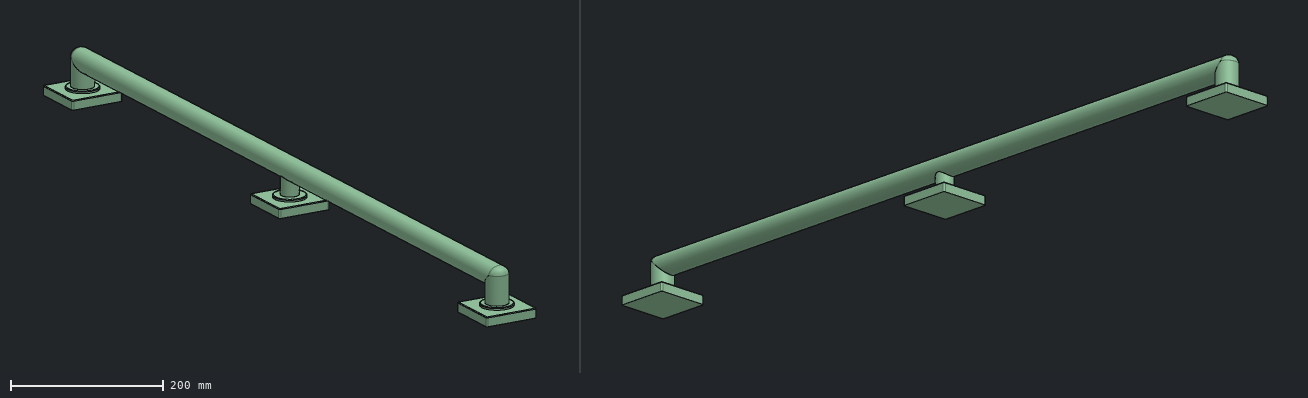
import cadquery as cq
import math

length = 1143.0
height = 70.0

flange_side = 77.0
flange_thickness = 14.0
flange_corner_radius = 2.0
flange_top_chamfer = 1.0

collar_diameter = 46.0
collar_height = 3.0
collar_chamfer = 1.0

tube_diameter = 32.0
tube_radius = tube_diameter / 2
elbow_bend_radius = 11.0
quarter_turn = 90
middle_post_diameter = 25.0

end_post_x = (length - flange_side) / 2
rail_axis_z = height - tube_radius
collar_top_z = flange_thickness + collar_height
bend_axis_x = end_post_x + tube_radius - elbow_bend_radius
bend_axis_z = height - elbow_bend_radius


def make_flange(x):
    """Square flange with its raised round collar, standing on z = 0."""
    plate = (
        cq.Workplane("XY")
        .box(flange_side, flange_side, flange_thickness, centered=(True, True, False))
        .edges("|Z")
        .fillet(flange_corner_radius)
        .faces(">Z")
        .edges()
        .chamfer(flange_top_chamfer)
    )
    collar = (
        cq.Workplane("XY", origin=(0, 0, flange_thickness))
        .circle(collar_diameter / 2)
        .extrude(collar_height)
        .faces(">Z")
        .edges()
        .chamfer(collar_chamfer)
    )
    return plate.union(collar).translate((x, 0, 0))


def make_corner_block(side):
    """Block holding the sharp outer corner of the mitre, to be replaced by the bend."""
    half_block = elbow_bend_radius / 2
    return (
        cq.Workplane("XY")
        .box(elbow_bend_radius, tube_diameter, elbow_bend_radius)
        .translate((side * (bend_axis_x + half_block), 0, bend_axis_z + half_block))
    )


def make_corner_bend(side):
    """Outer segment of the tube section, turned a quarter turn from rail to post."""
    segment_half_width = math.sqrt(tube_radius**2 - (tube_radius - elbow_bend_radius) ** 2)
    return (
        cq.Workplane("YZ", origin=(side * bend_axis_x, 0, bend_axis_z))
        .moveTo(-segment_half_width, 0)
        .threePointArc((0, elbow_bend_radius), (segment_half_width, 0))
        .close()
        .revolve(quarter_turn, (0, 0, 0), (side, 0, 0))
    )


def make_bent_tube():
    """Horizontal rail mitred into a vertical post at each end, outer corners rounded."""
    path = (
        cq.Workplane("XZ")
        .moveTo(-end_post_x, collar_top_z)
        .lineTo(-end_post_x, rail_axis_z)
        .lineTo(end_post_x, rail_axis_z)
        .lineTo(end_post_x, collar_top_z)
    )
    tube = (
        cq.Workplane("XY", origin=(-end_post_x, 0, collar_top_z))
        .circle(tube_radius)
        .sweep(path, transition="right")
    )
    for side in (-1, 1):
        tube = tube.cut(make_corner_block(side)).union(make_corner_bend(side))
    return tube


def make_grab_rail():
    """One-piece rail with its two end posts and flanges."""
    rail = make_bent_tube()
    for side in (-1, 1):
        rail = rail.union(make_flange(side * end_post_x))
    return rail


def make_middle_support():
    """Flanged post whose saddle-shaped top seats against the underside of the rail."""
    post = (
        cq.Workplane("XY", origin=(0, 0, collar_top_z))
        .circle(middle_post_diameter / 2)
        .extrude(rail_axis_z - collar_top_z)
    )
    saddle = (
        cq.Workplane("YZ", origin=(0, 0, rail_axis_z))
        .circle(tube_radius)
        .extrude(middle_post_diameter, both=True)
    )
    return make_flange(0).union(post.cut(saddle))


grab_rail = make_grab_rail()
middle_support = make_middle_support()
result = cq.Compound.makeCompound([grab_rail.val(), middle_support.val()])